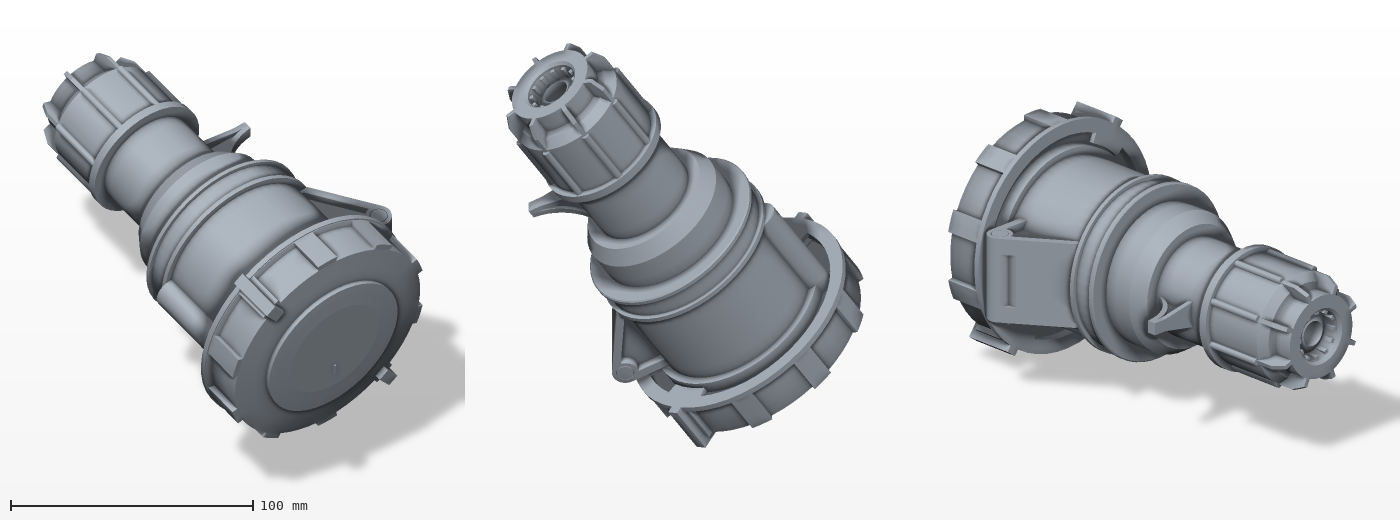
import cadquery as cq
import math


nut_end = 44.0
nut_bore_diameter = 22.5
nut_mouth_radius = 12.4
nut_hub_radius = 18.3
nut_shoulder_start = 8.5
nut_shoulder_x = 9.7
nut_shoulder_radius = 20.9
nut_grip_x = 13.2
nut_grip_radius = 24.4
nut_flange_x = 40.4
nut_flange_radius = 27.0
nut_rib_count = 8
nut_rib_phase = 24.5
nut_rod_radius = 1.5
nut_rod_start = 14.1
nut_fin_width = 2.0
nut_fin_outer = 24.7
nut_fin_tip = 22.0
nut_fin_slope_end = 6.1

seal_diameter = 22.3
seal_hole_diameter = 11.0
seal_tooth_count = 12
seal_tooth_width = 1.7
seal_front = 2.1
seal_plug_front = 4.7
seal_funnel_x = 7.3
seal_funnel_radius = 9.5
seal_plug_radius = 9.2
seal_tooth_inner = 9.4
seal_tooth_outer = 11.0
seal_tooth_root = 8.7

neck_start = 14.0
neck_radius = 43.5 / 2
cone_x = 74.5
cone_start_radius = 27.0
cone_end_x = 81.0
rear_radius = 31.2
joint_x = 94.2
joint_radius = 30.5

hook_x = 54.0
hook_plate = 2.3
hook_top = 43.0
hook_tip_end = 58.0
hook_foot_end = 72.5
hook_root = 20.5
hook_half_width = 2.7
hook_root_half_width = 5.7
hook_flare_y = 36.9
hook_web = 2.1

front_start = 94.9
collar_radius = 77.3 / 2
collar_chamfer = 0.5
first_collar_end = 97.0
waist_radius = 36.7
second_collar_x = 106.0
barrel_x = 108.0
barrel_radius = 35.7
rim_x = 148.0
rim_radius = 39.0
plug_end = 167.1
key_diameter = 14.0
key_axis = 35.7
key_slot_half_width = 6.3

hinge_x = 139.2
hinge_y = 48.3
hinge_radius = 5.48
hinge_half_length = 18.8
hinge_web_half_length = 15.1
hinge_notch_half_length = 11.7
hinge_toe_x = 109.1
hinge_toe_y = 34.1
hinge_root = 27.8
hinge_plate = 3.3
hinge_strut = 3.7
hinge_block_top = 42.1
hinge_hole_diameter = 7.5
pin_diameter = 7.0

ring_start = 149.2
ring_lip_end = 151.6
ring_radius = 101.5 / 2
ridge_radius = 50.1
ridge_end = 168.7
ridge_count = 10
pocket_angle = 25.0
pocket_radius = 47.7
pocket_wall_end = 152.8
ring_end = 170.5
recess_radius = 44.7
ramp_floor = 154.2
recess_floor = 153.5
ramp_angles = (9.0, 42.0)
tab_inner_radius = 40.2
tab_depth = 2.1
tab_angle = 24.4
handle_angle = 126.0
handle_width = 5.2
handle_root = 45.3
handle_tip = 53.6
handle_end = 171.8

insert_start = 153.2
insert_radius = 33.0
insert_shoulder = 172.7
insert_dome_x = 173.0
insert_dome_radius = 29.6
insert_face = 173.5
insert_face_radius = 22.6
nub_z = -13.0
nub_height = 5.5
nub_width = 1.0
overall_length = 174.0


def turned(points, angle=360.0):
    """Revolve an (x, radius) outline about X, sweeping up from the XY plane."""
    return cq.Workplane("XY").polyline(points).close().revolve(angle, (0, 0, 0), (1, 0, 0))


def disc(x_start, x_end, radius):
    return cq.Workplane("YZ", origin=(x_start, 0, 0)).circle(radius).extrude(x_end - x_start)


def sector(x_start, x_end, inner, outer, start, end):
    """Part of an annulus between two angles, measured from +Y toward +Z."""
    outline = [(x_start, inner), (x_end, inner), (x_end, outer), (x_start, outer)]
    return turn_x(turned(outline, end - start), start)


def turn_x(shape, angle):
    return shape.rotate((0, 0, 0), (1, 0, 0), angle)


def span_box(x_range, y_range, z_range):
    """Box between pairs of limits along X, Y and Z."""
    size = [high - low for low, high in (x_range, y_range, z_range)]
    return cq.Workplane("XY").box(*size, centered=False).translate((x_range[0], y_range[0], z_range[0]))


def make_nut():
    cove_mid = (nut_shoulder_x - 0.3, nut_hub_radius + 0.9)
    nut = (
        cq.Workplane("XY")
        .moveTo(0, 0)
        .lineTo(0, nut_hub_radius)
        .lineTo(nut_shoulder_start, nut_hub_radius)
        .threePointArc(cove_mid, (nut_shoulder_x, nut_shoulder_radius))
        .lineTo(nut_grip_x, nut_grip_radius)
        .lineTo(nut_flange_x, nut_grip_radius)
        .lineTo(nut_flange_x, nut_flange_radius)
        .lineTo(nut_end, nut_flange_radius)
        .lineTo(nut_end, 0)
        .close()
        .revolve(360, (0, 0, 0), (1, 0, 0))
    )
    fin = (
        cq.Workplane("XY")
        .polyline([
            (0, nut_hub_radius - 0.9),
            (0, nut_fin_tip),
            (nut_fin_slope_end, nut_fin_outer),
            (nut_rod_start, nut_fin_outer),
            (nut_rod_start, nut_hub_radius - 0.9),
        ])
        .close()
        .extrude(nut_fin_width / 2, both=True)
    )
    rod = (
        cq.Workplane("YZ", origin=(nut_rod_start, nut_fin_outer, 0))
        .circle(nut_rod_radius)
        .extrude(nut_flange_x - nut_rod_start)
    )
    for index in range(nut_rib_count):
        angle = nut_rib_phase + index * 360.0 / nut_rib_count
        nut = nut.union(turn_x(fin, angle)).union(turn_x(rod, angle))

    bore_radius = nut_bore_diameter / 2
    mouth_depth = nut_mouth_radius - bore_radius
    mouth = turned([(0, 0), (0, nut_mouth_radius), (mouth_depth, bore_radius), (mouth_depth, 0)])
    nut = nut.cut(mouth).cut(disc(0, neck_start, bore_radius))
    return nut.cut(disc(neck_start, nut_end, neck_radius))


def make_seal():
    """Grommet with a conical plug inside a funnel that is crossed by flat-ended teeth."""
    radius = seal_diameter / 2
    hole_radius = seal_hole_diameter / 2
    seal = turned([
        (seal_plug_front, hole_radius),
        (seal_funnel_x, seal_plug_radius),
        (seal_funnel_x, seal_funnel_radius),
        (seal_front, radius),
        (neck_start, radius),
        (neck_start, hole_radius),
    ])
    tooth = span_box((seal_front, seal_tooth_root), (seal_tooth_inner, seal_tooth_outer),
                     (-seal_tooth_width / 2, seal_tooth_width / 2))
    for index in range(seal_tooth_count):
        seal = seal.union(turn_x(tooth, index * 360.0 / seal_tooth_count))
    return seal


def make_hook():
    outline = (
        cq.Workplane("XY")
        .moveTo(hook_x, hook_root)
        .lineTo(hook_x, hook_top)
        .lineTo(hook_tip_end, hook_top)
        .threePointArc((62.0, 31.2), (hook_foot_end, neck_radius))
        .lineTo(hook_foot_end, hook_root)
        .close()
    )
    body = outline.extrude(hook_half_width, both=True)
    inner = hook_x + hook_plate
    side_recess = (
        cq.Workplane("XY")
        .moveTo(inner, hook_root)
        .lineTo(inner, 40.0)
        .threePointArc((61.3, 28.4), (70.3, neck_radius))
        .lineTo(70.3, hook_root)
        .close()
        .extrude(hook_half_width)
    )
    body = body.cut(side_recess.translate((0, 0, hook_web / 2)))
    body = body.cut(side_recess.translate((0, 0, -hook_web / 2 - hook_half_width)))
    plate = (
        cq.Workplane("YZ", origin=(hook_x, 0, 0))
        .polyline([
            (hook_top, -hook_half_width),
            (hook_top, hook_half_width),
            (hook_flare_y, hook_half_width),
            (hook_root, hook_root_half_width),
            (hook_root, -hook_root_half_width),
            (hook_flare_y, -hook_half_width),
        ])
        .close()
        .extrude(hook_plate)
    )
    return body.union(plate)


def make_rear_housing():
    body = turned([
        (neck_start, 0),
        (neck_start, neck_radius),
        (cone_x, neck_radius),
        (cone_x, cone_start_radius),
        (cone_end_x, rear_radius),
        (joint_x, rear_radius),
        (joint_x, joint_radius),
        (front_start, joint_radius),
        (front_start, 0),
    ])
    return body.union(make_hook())


def make_hinge():
    """Lug with a sloping plate and an upright strut around a thinner web."""
    toe_to_axis = (hinge_x - hinge_toe_x, hinge_y - hinge_toe_y)
    slope = math.atan2(toe_to_axis[1], toe_to_axis[0]) + math.asin(hinge_radius / math.hypot(*toe_to_axis))
    normal = (-math.sin(slope), math.cos(slope))
    tangent = (hinge_x + hinge_radius * normal[0], hinge_y + hinge_radius * normal[1])
    strut_end = hinge_x + hinge_radius
    strut_start = strut_end - hinge_strut

    barrel = (
        cq.Workplane("XY", origin=(hinge_x, hinge_y, 0))
        .circle(hinge_radius)
        .extrude(hinge_half_length, both=True)
    )
    frame = (
        cq.Workplane("XY")
        .polyline([
            (hinge_toe_x, hinge_root),
            (hinge_toe_x, hinge_toe_y),
            tangent,
            (hinge_x, hinge_y),
            (strut_end, hinge_y),
            (strut_end, hinge_root),
        ])
        .close()
        .extrude(hinge_half_length, both=True)
    )

    toe_drop = hinge_plate / math.cos(slope)
    plate_lower_y = hinge_toe_y - toe_drop + (strut_start - hinge_toe_x) * math.tan(slope)
    toe_inner_x = hinge_toe_x + 1.4
    toe_inner_y = hinge_toe_y - toe_drop + (toe_inner_x - hinge_toe_x) * math.tan(slope)
    side_depth = hinge_half_length - hinge_web_half_length
    side_recess = (
        cq.Workplane("XY", origin=(0, 0, hinge_web_half_length))
        .polyline([
            (toe_inner_x, hinge_root),
            (toe_inner_x, toe_inner_y),
            (strut_start, plate_lower_y),
            (strut_start, hinge_root),
        ])
        .close()
        .extrude(side_depth)
    )
    frame = frame.cut(side_recess).cut(side_recess.mirror("XY"))

    notch = span_box((hinge_toe_x, hinge_x), (hinge_y, hinge_y + hinge_radius),
                     (-hinge_notch_half_length, hinge_notch_half_length))
    block = span_box((strut_end, ring_start), (hinge_root, hinge_block_top),
                     (-hinge_web_half_length, hinge_web_half_length))
    return frame.cut(notch).union(barrel).union(block)


def hinge_cylinder(diameter):
    return (
        cq.Workplane("XY", origin=(hinge_x, hinge_y, 0))
        .circle(diameter / 2)
        .extrude(hinge_half_length, both=True)
    )


def make_front_housing():
    shell = turned([
        (front_start, 0),
        (front_start, collar_radius - collar_chamfer),
        (front_start + collar_chamfer, collar_radius),
        (first_collar_end, collar_radius),
        (first_collar_end, waist_radius),
        (second_collar_x, waist_radius),
        (second_collar_x, collar_radius),
        (barrel_x, collar_radius),
        (barrel_x, barrel_radius),
        (rim_x, barrel_radius),
        (rim_x, rim_radius),
        (plug_end, rim_radius),
        (plug_end, 0),
    ])
    key_slot = span_box((rim_x, recess_floor), (-rim_radius, -barrel_radius),
                        (-key_slot_half_width, key_slot_half_width))
    key = (
        cq.Workplane("YZ", origin=(barrel_x, -key_axis, 0))
        .circle(key_diameter / 2)
        .extrude(recess_floor - barrel_x)
    )
    housing = shell.cut(key_slot).union(key).union(make_hinge())
    housing = housing.cut(hinge_cylinder(hinge_hole_diameter))
    return housing.cut(disc(insert_start, plug_end, insert_radius))


def make_coupling_ring():
    ring = turned([
        (ring_start, insert_radius),
        (ring_start, ring_radius),
        (ring_lip_end, ring_radius),
        (ring_lip_end, ridge_radius),
        (ridge_end, ridge_radius),
        (ridge_end, pocket_radius),
        (ring_end, insert_radius),
    ])

    pocket = turn_x(
        turned([
            (ring_lip_end, ring_radius),
            (pocket_wall_end, pocket_radius),
            (ring_end, pocket_radius),
            (ring_end, ring_radius),
        ], pocket_angle),
        -pocket_angle / 2,
    )
    for index in range(ridge_count):
        ring = ring.cut(turn_x(pocket, index * 360.0 / ridge_count))

    ring = ring.cut(disc(ring_start, plug_end, rim_radius))
    ring = ring.cut(disc(ring_start, recess_floor, recess_radius))

    handle = span_box((ring_start, handle_end), (handle_root, handle_tip),
                      (-handle_width / 2, handle_width / 2))
    tab = sector(ring_start, ring_start + tab_depth, tab_inner_radius, recess_radius + 0.9,
                 -tab_angle / 2, tab_angle / 2)
    ramp = sector(ring_lip_end, ramp_floor, rim_radius - 0.9, recess_radius - 0.2,
                  180.0 - ramp_angles[1], 180.0 - ramp_angles[0])
    for half_turn in (0.0, 180.0):
        ring = ring.cut(turn_x(ramp, half_turn))
        ring = ring.union(turn_x(handle, handle_angle + half_turn))
        ring = ring.union(turn_x(tab, handle_angle + half_turn))
    return ring


def make_insert():
    insert = turned([
        (insert_start, 0),
        (insert_start, insert_radius),
        (insert_shoulder, insert_radius),
        (insert_dome_x, insert_dome_radius),
        (insert_face, insert_face_radius),
        (insert_face, 0),
    ])
    nub = span_box((insert_dome_x, overall_length), (-nub_width / 2, nub_width / 2),
                   (nub_z - nub_height / 2, nub_z + nub_height / 2))
    return insert.union(nub)


nut = make_nut()
seal = make_seal()
rear_housing = make_rear_housing()
front_housing = make_front_housing()
coupling_ring = make_coupling_ring()
insert = make_insert()
hinge_pin = hinge_cylinder(pin_diameter)

result = cq.Compound.makeCompound([
    nut.solids().val(),
    seal.solids().val(),
    rear_housing.solids().val(),
    front_housing.solids().val(),
    coupling_ring.solids().val(),
    insert.solids().val(),
    hinge_pin.solids().val(),
])